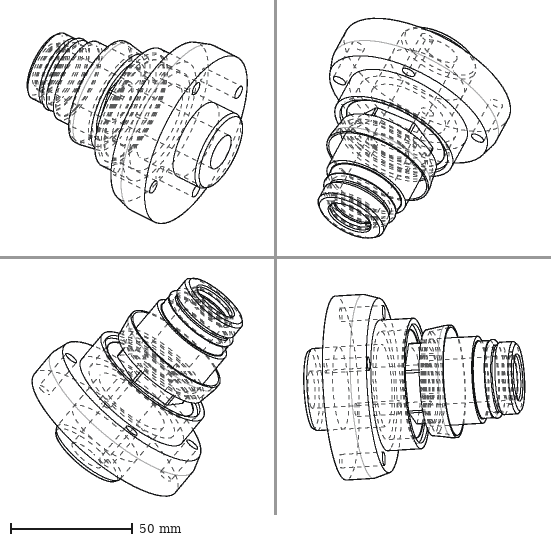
import cadquery as cq
import math

TOTAL_LENGTH = 86.9
NOSE_END = 6.8
OUTER_GROOVE_START = 8.2
OUTER_GROOVE_END = 11.0
SEAT_END = 15.6
SLEEVE_START = 15.9
CUP_FRONT = 26.9
CUP_BACK = 37.2
HOUSING_FRONT = 42.4
FLANGE_FRONT = 56.5
FLANGE_CONE_END = 62.9
FLANGE_BACK = 74.6

NOSE_DIAMETER = 30.0
NOSE_CHAMFER = 1.2
OUTER_GROOVE_DIAMETER = 27.6
SEAT_DIAMETER = 32.0
SEAT_CORNER_RISE = 0.3
SLEEVE_DIAMETER = 36.0
HEX_SIDES = 6
HEX_ACROSS_FLATS = 30.0
HEX_CORNER_DIAMETER = 34.0
COLLAR_DIAMETER = 44.7
SPIGOT_DIAMETER = 34.0
SPIGOT_CHAMFER_LENGTH = 1.5
SPIGOT_CHAMFER_DEPTH = 0.9

BORE_DIAMETER = 15.3
BORE_ENTRY_DIAMETER = 16.0
SOCKET_DIAMETER = 18.5
SOCKET_CHAMFER_LENGTH = 0.8
SOCKET_CHAMFER_DEPTH = 0.5
INNER_GROOVE_DIAMETER = 21.7
INNER_GROOVE_START = 2.3
INNER_GROOVE_END = 4.7
SOCKET_REAR_DIAMETER = 18.3

OUTER_SEAL_SECTION = 2.5
INNER_SEAL_SECTION = 2.0

CUP_OUTER_DIAMETER = 46.5
CUP_MOUTH_DIAMETER = 44.7
CUP_FLOOR_DIAMETER = 42.0
CUP_BACK_DIAMETER = 43.8
CUP_RIM_LENGTH = 2.2
CUP_FLOOR_THICKNESS = 1.9

HUB_DIAMETER = 54.0
RECESS_DIAMETER = 49.2
RECESS_DEPTH = 1.5
COLLAR_SETBACK = 0.35
FLANGE_DIAMETER = 76.0
FLANGE_FRONT_DIAMETER = 72.1
BOLT_HOLE_DIAMETER = 5.6
BOLT_CIRCLE_DIAMETER = 63.0
BOLT_COUNT = 4

RECESS_FLOOR = HOUSING_FRONT + RECESS_DEPTH
COLLAR_FRONT = RECESS_FLOOR + COLLAR_SETBACK


def turned(profile):
    """Solid of revolution about X from (x, diameter) points; the first and last close on the axis."""
    radii = [(x, diameter / 2) for x, diameter in profile]
    closed = [(profile[0][0], 0)] + radii + [(profile[-1][0], 0)]
    return cq.Workplane("XY").polyline(closed).close().revolve(360, (0, 0, 0), (1, 0, 0))


def rod(start, end, diameter):
    return turned([(start, diameter), (end, diameter)])


def o_ring(center_x, ring_diameter, section):
    """Torus about X; ring_diameter runs through the middle of the section."""
    return (
        cq.Workplane("XY")
        .center(center_x, ring_diameter / 2)
        .circle(section / 2)
        .revolve(360, (0, -ring_diameter / 2, 0), (1, -ring_diameter / 2, 0))
    )


def make_stem():
    """Nose, sleeve, hexagon, collar and spigot in one piece, with a stepped bore through it."""
    nose_face_diameter = NOSE_DIAMETER - 2 * NOSE_CHAMFER
    front = turned([
        (0, nose_face_diameter),
        (NOSE_CHAMFER, NOSE_DIAMETER),
        (NOSE_END, NOSE_DIAMETER),
        (OUTER_GROOVE_START, OUTER_GROOVE_DIAMETER),
        (OUTER_GROOVE_END, OUTER_GROOVE_DIAMETER),
        (OUTER_GROOVE_END, SEAT_DIAMETER),
        (SEAT_END, SEAT_DIAMETER),
        (SLEEVE_START, SEAT_DIAMETER + 2 * SEAT_CORNER_RISE),
        (SLEEVE_START, SLEEVE_DIAMETER),
        (CUP_BACK, SLEEVE_DIAMETER),
    ])
    rear = turned([
        (COLLAR_FRONT, COLLAR_DIAMETER),
        (FLANGE_FRONT, COLLAR_DIAMETER),
        (FLANGE_FRONT, SPIGOT_DIAMETER),
        (TOTAL_LENGTH - SPIGOT_CHAMFER_LENGTH, SPIGOT_DIAMETER),
        (TOTAL_LENGTH, SPIGOT_DIAMETER - 2 * SPIGOT_CHAMFER_DEPTH),
    ])
    return front.union(make_hex()).union(rear).cut(make_bore())


def make_hex():
    """Hexagon with flats facing +Z and -Z and its corners turned down."""
    across_corners = HEX_ACROSS_FLATS / math.cos(math.pi / HEX_SIDES)
    length = COLLAR_FRONT - CUP_BACK
    prism = cq.Workplane("YZ", origin=(CUP_BACK, 0, 0)).polygon(HEX_SIDES, across_corners).extrude(length)
    return prism.intersect(rod(CUP_BACK, COLLAR_FRONT, HEX_CORNER_DIAMETER))


def make_bore():
    """Wide socket with a seal groove, stepping down at the hexagon to the narrower through bore."""
    entry_chamfer = (BORE_ENTRY_DIAMETER - BORE_DIAMETER) / 2
    return turned([
        (0, SOCKET_DIAMETER + 2 * SOCKET_CHAMFER_DEPTH),
        (SOCKET_CHAMFER_LENGTH, SOCKET_DIAMETER),
        (INNER_GROOVE_START, SOCKET_DIAMETER),
        (INNER_GROOVE_START, INNER_GROOVE_DIAMETER),
        (INNER_GROOVE_END, INNER_GROOVE_DIAMETER),
        (INNER_GROOVE_END, SOCKET_REAR_DIAMETER),
        (CUP_BACK, SOCKET_REAR_DIAMETER),
        (CUP_BACK, BORE_ENTRY_DIAMETER),
        (CUP_BACK + entry_chamfer, BORE_DIAMETER),
        (TOTAL_LENGTH, BORE_DIAMETER),
    ])


def make_outer_seal():
    """O-ring resting on the floor of the outer groove, against its rear wall."""
    center_x = OUTER_GROOVE_END - OUTER_SEAL_SECTION / 2
    return o_ring(center_x, OUTER_GROOVE_DIAMETER + OUTER_SEAL_SECTION, OUTER_SEAL_SECTION)


def make_inner_seal():
    """O-ring against the front wall and the floor of the groove inside the bore."""
    center_x = INNER_GROOVE_START + INNER_SEAL_SECTION / 2
    return o_ring(center_x, INNER_GROOVE_DIAMETER - INNER_SEAL_SECTION, INNER_SEAL_SECTION)


def make_cup():
    """Thin cup open to the front, fitted around the rear of the sleeve."""
    floor_front = CUP_BACK - CUP_FLOOR_THICKNESS
    section = [
        (CUP_FRONT, CUP_MOUTH_DIAMETER),
        (CUP_FRONT, CUP_OUTER_DIAMETER),
        (CUP_FRONT + CUP_RIM_LENGTH, CUP_OUTER_DIAMETER),
        (CUP_BACK, CUP_BACK_DIAMETER),
        (CUP_BACK, SLEEVE_DIAMETER),
        (floor_front, SLEEVE_DIAMETER),
        (floor_front, CUP_FLOOR_DIAMETER),
    ]
    outline = [(x, diameter / 2) for x, diameter in section]
    return cq.Workplane("XY").polyline(outline).close().revolve(360, (0, 0, 0), (1, 0, 0))


def make_housing():
    """Flanged housing with a stepped bore that takes the collar and spigot of the stem."""
    outside = turned([
        (HOUSING_FRONT, HUB_DIAMETER),
        (FLANGE_FRONT, HUB_DIAMETER),
        (FLANGE_FRONT, FLANGE_FRONT_DIAMETER),
        (FLANGE_CONE_END, FLANGE_DIAMETER),
        (FLANGE_BACK, FLANGE_DIAMETER),
    ])
    inside = turned([
        (HOUSING_FRONT, RECESS_DIAMETER),
        (RECESS_FLOOR, RECESS_DIAMETER),
        (RECESS_FLOOR, COLLAR_DIAMETER),
        (FLANGE_FRONT, COLLAR_DIAMETER),
        (FLANGE_FRONT, SPIGOT_DIAMETER),
        (FLANGE_BACK, SPIGOT_DIAMETER),
    ])
    bolt_holes = (
        cq.Workplane("YZ", origin=(FLANGE_FRONT, 0, 0))
        .polarArray(BOLT_CIRCLE_DIAMETER / 2, 0, 360, BOLT_COUNT)
        .circle(BOLT_HOLE_DIAMETER / 2)
        .extrude(FLANGE_BACK - FLANGE_FRONT)
    )
    return outside.cut(inside).cut(bolt_holes)


stem = make_stem()
outer_seal = make_outer_seal()
inner_seal = make_inner_seal()
cup = make_cup()
housing = make_housing()

result = cq.Compound.makeCompound([
    stem.val(),
    outer_seal.val(),
    inner_seal.val(),
    cup.val(),
    housing.val(),
])